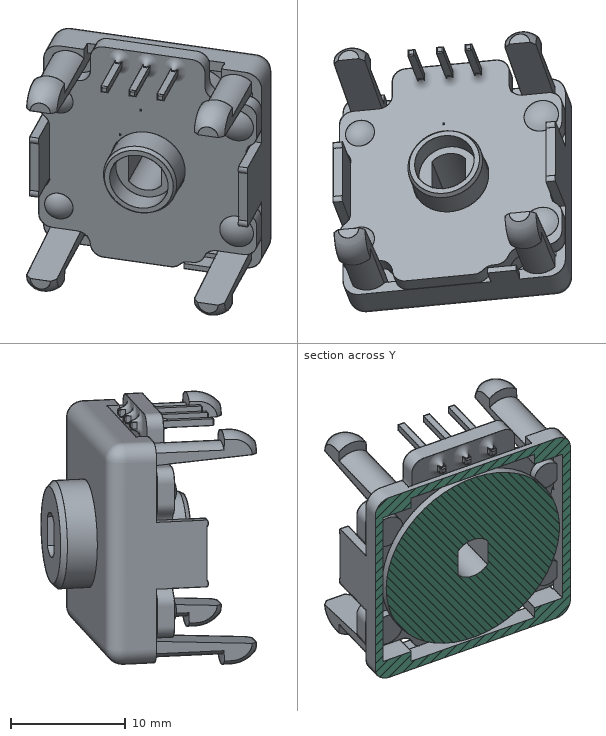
import cadquery as cq
import math


side = 19.84
half_side = side / 2
depth = 4.25
edge_radius = 1.5
wall_x = 0.83
wall_z = 0.96
cavity_half_x = half_side - wall_x
cavity_half_z = half_side - wall_z
floor_thickness = 1.15
cavity_depth = depth - floor_thickness

leg_inner_x = 6.25
leg_outer_x = 9.0
leg_width = leg_outer_x - leg_inner_x
leg_middle_x = (leg_inner_x + leg_outer_x) / 2
leg_root_z = 7.9
leg_tip_z = 8.5
leg_edge_z = 9.0
leg_crown_z = 9.55
leg_end_y = -9.2
hook_shoulder_y = -6.12
hook_undercut = 0.13
hook_flat_end_y = -6.9
hook_top_z = 10.5
hook_tip_radius = 0.92

tab_half_height = 3.0
tab_length = 4.52
tab_lip_width = 0.6
tab_lip_height = 0.1

notch_depth = 1.1
block_left_x = 3.29
block_right_x = 5.85
block_top_z = -9.4

board_gap = 0.09
board_thickness = 1.51
board_top_y = -board_gap
board_face_y = board_top_y - board_thickness
board_slot_x = 8.92
board_tongue_x = 5.22
board_tongue_z = 11.42
board_step_z = -9.16
board_step_right_x = 4.03
board_step_left_x = 3.81
shoulder_z = 7.63
slot_bend_z = 4.55
board_radius = 1.2
board_bore_radius = 3.4
via_size = 0.13
via_depth = 0.22
via_places = [(-0.64, 5.52), (-2.52, 2.75)]

peg_x = 8.09
peg_z = 5.37
peg_top_y = 0.65
left_peg_radius = 1.3
right_peg_radius = 1.53
peg_dome_height = 0.5

pin_count = 3
pin_pitch = 2.55
pin_z = 10.13
pin_size = 0.61
pin_chamfer = 0.1
pin_top_y = 0.88
pin_end_y = -6.62
solder_radius = 0.92
solder_half_slot = 0.26
solder_height = 0.83
solder_neck = 0.15
solder_bulge_radius = 0.42
solder_bulge_height = 0.26

boss_radius = 4.75
boss_length = 3.18
boss_chamfer = 0.5
disc_radius = 8.81
disc_bottom_y = 0.88
collar_radius = 4.08
collar_bottom_y = 0.07
hub_radius = 3.33
hub_end_y = -4.47
hub_chamfer_length = 0.42
hub_chamfer_width = 0.2
counterbore_radius = 2.65
counterbore_depth = 2.02
shaft_hole_radius = 1.97
shaft_flat_half = 1.5


def plane_at(y):
    """Sketch plane facing -Y, with local axes X and Z."""
    return cq.Workplane("XZ", origin=(0, y, 0))


def block(x_range, y_range, z_range):
    """Axis-aligned box given by its limits."""
    sizes = [high - low for low, high in (x_range, y_range, z_range)]
    corner = (x_range[0], y_range[0], z_range[0])
    return cq.Workplane("XY").box(*sizes, centered=False).translate(corner)


def s_bend_run(offset):
    """Length of an S-bend of two equal tangent arcs that shifts an edge by offset."""
    return math.sqrt(offset * (4 * board_radius - offset))


def s_bend(path, dx, dz):
    """Continue the path by dx, dz with two equal tangent arcs of opposite bend."""
    half_step = (dx / 2, dz / 2)
    return path.tangentArcPoint(half_step).tangentArcPoint(half_step)


def mirrored_four(body):
    """The body at X and Z and its mirror images in the other three quadrants."""
    pair = body.union(body.mirror("YZ"))
    return pair.union(pair.mirror("XY"))


def make_shell():
    shell = plane_at(0).rect(side, side).extrude(-depth)
    shell = shell.edges("|Y").fillet(edge_radius).faces(">Y").edges().fillet(edge_radius)
    cavity = plane_at(0).rect(2 * cavity_half_x, 2 * cavity_half_z).extrude(-cavity_depth)
    boss_hole = plane_at(0).circle(boss_radius).extrude(-depth)
    notch = block((-leg_inner_x, leg_inner_x), (0, notch_depth), (cavity_half_z, half_side))
    return shell.cut(cavity).cut(boss_hole).cut(notch)


def make_leg():
    """Snap leg of the +X +Z corner: tapered shank with a crowned top and a round hook."""
    shank_length = hook_shoulder_y - hook_undercut
    shank = (
        cq.Workplane("XZ")
        .moveTo(leg_inner_x, 0)
        .lineTo(leg_outer_x, 0)
        .lineTo(leg_outer_x, leg_edge_z)
        .threePointArc((leg_middle_x, leg_crown_z), (leg_inner_x, leg_edge_z))
        .close()
        .extrude(-shank_length)
    )
    hook_radius = hook_top_z - leg_tip_z
    hook = (
        cq.Workplane("XY")
        .moveTo(0, hook_shoulder_y)
        .lineTo(hook_radius, hook_shoulder_y - hook_undercut)
        .lineTo(hook_radius, hook_flat_end_y)
        .tangentArcPoint((hook_tip_radius, leg_end_y), relative=False)
        .lineTo(0, leg_end_y)
        .close()
        .revolve(360, (0, 0), (0, 1))
        .translate((leg_middle_x, 0, leg_tip_z))
    )
    side_profile = (
        cq.Workplane("YZ", origin=(leg_inner_x, 0, 0))
        .moveTo(0, leg_root_z)
        .lineTo(leg_end_y, leg_tip_z)
        .lineTo(leg_end_y, 2 * leg_tip_z)
        .lineTo(0, 2 * leg_tip_z)
        .close()
        .extrude(leg_width)
    )
    root = block((leg_inner_x, cavity_half_x), (0, cavity_depth), (leg_root_z, cavity_half_z))
    return shank.union(hook).intersect(side_profile).union(root)


def make_tab():
    """Flat tab on the +X side, with a rounded lip at each end of its tip."""
    lip_start = tab_half_height - tab_lip_width
    lip_middle = tab_half_height - tab_lip_width / 2
    tip_y = -tab_length
    lip_y = tip_y - tab_lip_height
    return (
        cq.Workplane("YZ", origin=(cavity_half_x, 0, 0))
        .moveTo(0, -tab_half_height)
        .lineTo(tip_y, -tab_half_height)
        .threePointArc((lip_y, -lip_middle), (tip_y, -lip_start))
        .lineTo(tip_y, lip_start)
        .threePointArc((lip_y, lip_middle), (tip_y, tab_half_height))
        .lineTo(0, tab_half_height)
        .close()
        .extrude(wall_x)
    )


def slotted_side(path, half_x, facing):
    """Board edge with a tab slot, drawn down the right (facing 1) or up the left (facing -1)."""
    slot_shift = facing * (half_side - board_slot_x)
    slot_run = facing * s_bend_run(half_side - board_slot_x)
    path = path.lineTo(half_x, facing * slot_bend_z)
    path = s_bend(path, -slot_shift, -slot_run)
    path = path.lineTo(half_x - slot_shift, slot_run - facing * slot_bend_z)
    path = s_bend(path, slot_shift, -slot_run)
    return path.lineTo(half_x, facing * (board_radius - shoulder_z))


def make_board():
    """Circuit board: tongue at the top, slots for the tabs, shoulders beside the legs."""
    r = board_radius
    bottom_shift = half_side - shoulder_z
    bottom_run = s_bend_run(bottom_shift)
    step_shift = -shoulder_z - board_step_z
    step_run = s_bend_run(step_shift)
    ledge_shift = board_step_z + half_side
    ledge_run = s_bend_run(ledge_shift)

    path = plane_at(board_top_y).moveTo(r - board_tongue_x, board_tongue_z)
    path = path.lineTo(board_tongue_x - r, board_tongue_z).tangentArcPoint((r, -r))
    path = path.lineTo(board_tongue_x, shoulder_z + r).tangentArcPoint((r, -r))
    path = path.lineTo(half_side - r, shoulder_z).tangentArcPoint((r, -r))
    path = slotted_side(path, half_side, 1).tangentArcPoint((-r, -r))
    path = path.lineTo(board_step_right_x + step_run, -shoulder_z)
    path = s_bend(path, -step_run, -step_shift)
    path = path.lineTo(board_step_left_x, board_step_z)
    path = s_bend(path, -ledge_run, -ledge_shift)
    path = path.lineTo(bottom_run / 2 - board_tongue_x, -half_side)
    path = s_bend(path, -bottom_run, bottom_shift)
    path = path.lineTo(r - half_side, -shoulder_z).tangentArcPoint((-r, r))
    path = slotted_side(path, -half_side, -1).tangentArcPoint((r, r))
    path = path.lineTo(-board_tongue_x - r, shoulder_z).tangentArcPoint((r, r))
    path = path.lineTo(-board_tongue_x, board_tongue_z - r).tangentArcPoint((r, r))
    board = path.close().extrude(board_thickness)

    bore = plane_at(board_top_y).circle(board_bore_radius).extrude(board_thickness)
    vias = plane_at(board_face_y).pushPoints(via_places).rect(via_size, via_size).extrude(-via_depth)
    return board.cut(bore).cut(vias)


def make_peg(x, z, radius):
    """Peg through the board, ending in a spherical rivet head."""
    diagonal = radius * math.sqrt(0.5)
    sphere_radius = (radius**2 + peg_dome_height**2) / (2 * peg_dome_height)
    sag = sphere_radius - math.sqrt(sphere_radius**2 - diagonal**2)
    tip_y = board_face_y - peg_dome_height
    return (
        cq.Workplane("XY")
        .moveTo(0, peg_top_y)
        .lineTo(radius, peg_top_y)
        .lineTo(radius, board_face_y)
        .threePointArc((diagonal, tip_y + sag), (0, tip_y))
        .close()
        .revolve(360, (0, 0), (0, 1))
        .translate((x, 0, z))
    )


def solder_profile():
    """Half section of a solder joint standing on Y = 0 towards -Y."""
    bulge = (solder_bulge_radius, -solder_bulge_height)
    return (
        cq.Workplane("XY")
        .moveTo(0, 0)
        .lineTo(solder_radius, 0)
        .threePointArc(bulge, (solder_neck, -solder_height))
        .lineTo(0, -solder_height)
        .close()
    )


def make_solder():
    """Concave solder joint: two half cones with a straight stretch between them along Z."""
    right_ridge = solder_profile().extrude(solder_half_slot, both=True)
    cone = solder_profile().revolve(360, (0, 0), (0, 1)).translate((0, 0, solder_half_slot))
    sides = (-solder_radius, solder_radius)
    beyond_ridge = (solder_half_slot, solder_half_slot + solder_radius)
    upper = cone.intersect(block(sides, (-solder_height, 0), beyond_ridge))
    ridge = right_ridge.union(right_ridge.mirror("YZ"))
    return ridge.union(upper).union(upper.mirror("XY"))


def make_terminal():
    """Square pin through the board with a solder joint on each face."""
    pin = plane_at(pin_top_y).rect(pin_size, pin_size).extrude(pin_top_y - pin_end_y)
    pin = pin.faces("<Y or >Y").edges().chamfer(pin_chamfer)
    solder = make_solder()
    lower_joint = solder.translate((0, board_face_y, 0))
    upper_joint = solder.mirror("XZ").translate((0, board_top_y, 0))
    return pin.union(lower_joint).union(upper_joint)


def make_housing():
    """Housing with the staked board and its terminals."""
    housing = make_shell().union(mirrored_four(make_leg()))
    tab = make_tab()
    housing = housing.union(tab).union(tab.mirror("YZ"))
    stop_block = block((block_left_x, block_right_x), (board_face_y, 0), (-half_side, block_top_z))
    housing = housing.union(stop_block).union(make_board())
    for z in (-peg_z, peg_z):
        housing = housing.union(make_peg(-peg_x, z, left_peg_radius))
        housing = housing.union(make_peg(peg_x, z, right_peg_radius))
    terminal = make_terminal()
    for index in range(pin_count):
        x = (index - (pin_count - 1) / 2) * pin_pitch
        housing = housing.union(terminal.translate((x, 0, pin_z)))
    return housing


def make_rotor():
    """Boss, magnet disc, collar and hub in one turned body with a double-D shaft hole."""
    boss_end_y = depth + boss_length
    rotor = (
        cq.Workplane("XY")
        .moveTo(0, boss_end_y)
        .lineTo(boss_radius - boss_chamfer, boss_end_y)
        .lineTo(boss_radius, boss_end_y - boss_chamfer)
        .lineTo(boss_radius, cavity_depth)
        .lineTo(disc_radius, cavity_depth)
        .lineTo(disc_radius, disc_bottom_y)
        .lineTo(collar_radius, disc_bottom_y)
        .lineTo(collar_radius, collar_bottom_y)
        .lineTo(hub_radius, collar_bottom_y)
        .lineTo(hub_radius, hub_end_y + hub_chamfer_length)
        .lineTo(hub_radius - hub_chamfer_width, hub_end_y)
        .lineTo(0, hub_end_y)
        .close()
        .revolve(360, (0, 0), (0, 1))
    )
    counterbore = plane_at(hub_end_y).circle(counterbore_radius).extrude(-counterbore_depth)
    through = boss_end_y - hub_end_y
    shaft_hole = plane_at(hub_end_y).circle(shaft_hole_radius).extrude(-through)
    flats = plane_at(hub_end_y).rect(2 * shaft_flat_half, 2 * shaft_hole_radius).extrude(-through)
    return rotor.cut(counterbore).cut(shaft_hole.intersect(flats))


housing = make_housing()
rotor = make_rotor()

result = cq.Compound.makeCompound([housing.val(), rotor.val()])